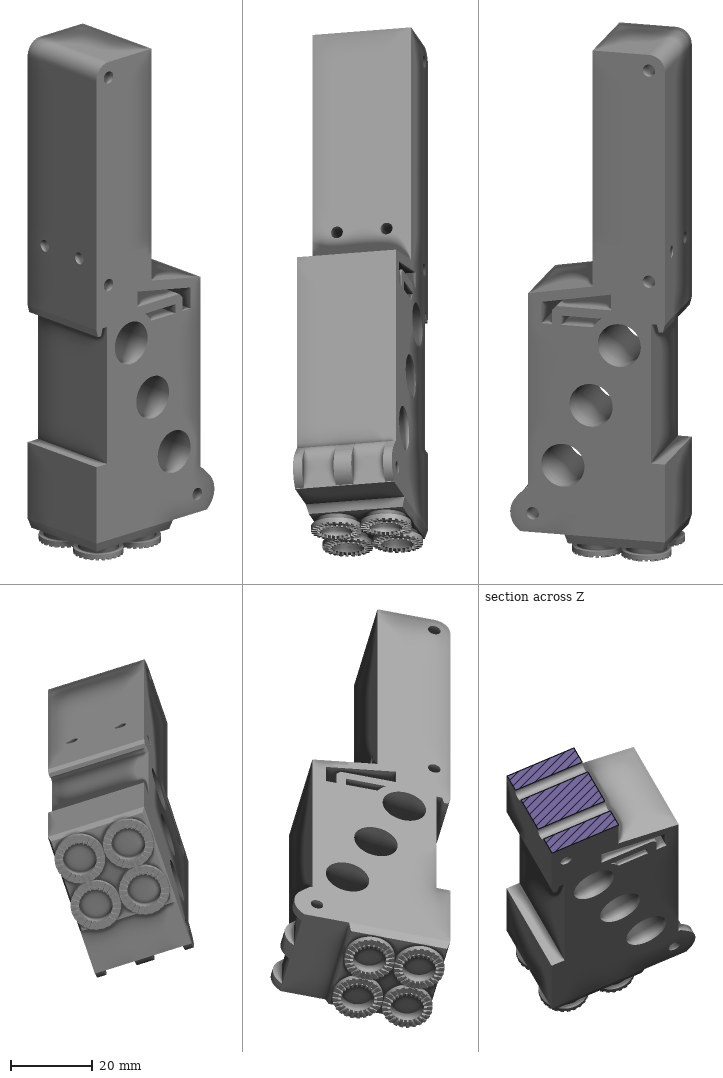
import cadquery as cq
import math

width = 25.0
total_height = 130.7
full_depth = 39.5

tower_depth = 18.4
body_depth = 34.9
roof_low = 67.1
roof_high = 70.1
roof_slope = (roof_high - roof_low) / (body_depth - tower_depth)
base_bottom = 5.8
top_radius = 4.0
recess_depth = 3.5
recess_bottom = 25.8
recess_top = 61.6
lip_thickness = 2.1
lip_tip_inset = 0.5
lip_bottom = 59.6

port_diameter = 11.0
port_middle_y, port_middle_z = 18.8, 39.5
port_step_y, port_step_z = -7.2, 16.0
pin_diameter = 3.1
lower_pin_drop = 54.3
front_hole_diameter = 3.0
front_hole_spacing = 12.5
front_hole_z = 78.7

slot_bottom = 59.6
slot_back_y = 31.5
slot_front_y = 13.7
slot_back_top = 65.1
leg_front_y = 28.8
arm_top = 64.3
arm_bottom = 62.0
arm_chamfer = 1.0
lower_slot_back_y = 26.4
lower_slot_port_radius = 8.0

hinge_radius = 5.8
hinge_y = full_depth - hinge_radius
hinge_z = 10.6
hinge_ledge = 17.0
outer_tab_width = 2.2
middle_tab_width = 4.5

plinth_bottom = 3.4
plinth_depth = 25.6
plinth_taper = 0.7
button_pitch = 12.5
button_front_y = 6.4
collar_diameter = 10.1
flange_diameter = 12.4
flange_top = 2.0
flange_bottom = 0.4
crown_diameter = 9.7
bore_diameter = 8.2
tooth_count = 24
notch_width = 0.8
notch_depth = 0.8


def side_sketch():
    """Workplane on the -X side whose local axes are Y and Z."""
    return cq.Workplane("YZ", origin=(-width / 2, 0, 0))


def cross_hole(y, z, diameter):
    return side_sketch().center(y, z).circle(diameter / 2).extrude(width)


def make_body():
    arc_corner = top_radius * (1 - math.sqrt(0.5))
    return (
        side_sketch()
        .moveTo(0, base_bottom)
        .lineTo(0, recess_bottom)
        .lineTo(recess_depth, recess_bottom)
        .lineTo(recess_depth, recess_top)
        .lineTo(lip_thickness, recess_top)
        .lineTo(lip_thickness - lip_tip_inset, lip_bottom)
        .lineTo(lip_tip_inset, lip_bottom)
        .lineTo(0, recess_top)
        .lineTo(0, total_height - top_radius)
        .threePointArc((arc_corner, total_height - arc_corner), (top_radius, total_height))
        .lineTo(tower_depth, total_height)
        .lineTo(tower_depth, roof_high)
        .lineTo(body_depth, roof_low)
        .lineTo(body_depth, base_bottom)
        .close()
        .extrude(width)
    )


flank_offset = hinge_radius * math.sqrt(0.5)
ledge_y = hinge_y + 2 * flank_offset - (hinge_ledge - hinge_z)


def make_hinge_web():
    """Web between the tabs: a vertical back that rounds over to 45 degrees at the ledge."""
    nose_y = ledge_y - flank_offset
    nose_z = hinge_ledge - flank_offset
    mid_angle = math.pi / 8
    return (
        side_sketch()
        .moveTo(nose_y, base_bottom)
        .lineTo(nose_y + hinge_radius, base_bottom)
        .lineTo(nose_y + hinge_radius, nose_z)
        .threePointArc(
            (nose_y + hinge_radius * math.cos(mid_angle), nose_z + hinge_radius * math.sin(mid_angle)),
            (ledge_y, hinge_ledge),
        )
        .lineTo(nose_y, hinge_ledge)
        .close()
        .extrude(width)
    )


def make_hinge_tab(tab_x, tab_width):
    """Round tab around the hinge pin, cut level with the bottom of the body."""
    bottom_y = hinge_y + math.sqrt(hinge_radius**2 - (hinge_z - base_bottom) ** 2)
    return (
        cq.Workplane("YZ", origin=(tab_x, 0, 0))
        .moveTo(hinge_y, base_bottom)
        .lineTo(bottom_y, base_bottom)
        .threePointArc((full_depth, hinge_z), (hinge_y + flank_offset, hinge_z + flank_offset))
        .lineTo(ledge_y, hinge_ledge)
        .lineTo(hinge_y, hinge_ledge)
        .close()
        .extrude(tab_width / 2, both=True)
    )


def make_hinge():
    outer_tab_x = (width - outer_tab_width) / 2
    hinge = make_hinge_web().union(make_hinge_tab(0, middle_tab_width))
    for side in (-1, 1):
        hinge = hinge.union(make_hinge_tab(side * outer_tab_x, outer_tab_width))
    return hinge


def make_latch_slots():
    upper_slot = (
        side_sketch()
        .moveTo(slot_back_y, slot_bottom)
        .lineTo(slot_back_y, slot_back_top)
        .lineTo(slot_front_y, slot_back_top + roof_slope * (slot_back_y - slot_front_y))
        .lineTo(slot_front_y, arm_top)
        .lineTo(leg_front_y - arm_chamfer, arm_top)
        .lineTo(leg_front_y, arm_top - arm_chamfer)
        .lineTo(leg_front_y, slot_bottom)
        .close()
        .extrude(width)
    )
    port_y = port_middle_y + port_step_y
    port_z = port_middle_z + port_step_z
    lower_slot = (
        side_sketch()
        .moveTo(port_y, slot_bottom)
        .lineTo(lower_slot_back_y, slot_bottom)
        .lineTo(lower_slot_back_y, arm_bottom)
        .lineTo(port_y, arm_bottom)
        .close()
        .extrude(width)
        .cut(cross_hole(port_y, port_z, 2 * lower_slot_port_radius))
    )
    return upper_slot.union(lower_slot)


def make_plinth():
    taper_angle = math.degrees(math.atan(plinth_taper / (base_bottom - plinth_bottom)))
    return (
        cq.Workplane("XY", origin=(0, plinth_depth / 2, base_bottom))
        .rect(width, plinth_depth)
        .extrude(plinth_bottom - base_bottom, taper=taper_angle)
    )


def make_button():
    """Release button of a push-in fitting: collar, flange and toothed crown."""

    def disc(diameter, bottom, top):
        return cq.Workplane("XY", origin=(0, 0, bottom)).circle(diameter / 2).extrude(top - bottom)

    button = (
        disc(collar_diameter, flange_top, plinth_bottom)
        .union(disc(flange_diameter, flange_bottom, flange_top))
        .union(disc(crown_diameter, 0, flange_bottom))
        .cut(disc(bore_diameter, 0, plinth_bottom))
    )
    notches = (
        cq.Workplane("XY")
        .polarArray((bore_diameter + flange_diameter) / 4, 180 / tooth_count, 360, tooth_count)
        .rect(flange_diameter - bore_diameter, notch_width)
        .extrude(notch_depth)
    )
    return button.cut(notches)


result = make_body().union(make_hinge()).union(make_plinth())

for step in (-1, 0, 1):
    port_y = port_middle_y + step * port_step_y
    port_z = port_middle_z + step * port_step_z
    result = result.cut(cross_hole(port_y, port_z, port_diameter))

upper_pin_z = total_height - top_radius
pin_places = (
    (top_radius, upper_pin_z),
    (top_radius, upper_pin_z - lower_pin_drop),
    (hinge_y, hinge_z),
)
for pin_y, pin_z in pin_places:
    result = result.cut(cross_hole(pin_y, pin_z, pin_diameter))

result = result.cut(make_latch_slots())

front_holes = (
    cq.Workplane("XZ", origin=(0, 0, front_hole_z))
    .rarray(front_hole_spacing, 1.3, 2, 1)
    .circle(front_hole_diameter / 2)
    .extrude(-tower_depth)
)
result = result.cut(front_holes)

button = make_button()
for side in (-1, 1):
    for row in (0, 1):
        place = (side * button_pitch / 2, button_front_y + row * button_pitch, 0)
        result = result.union(button.translate(place))